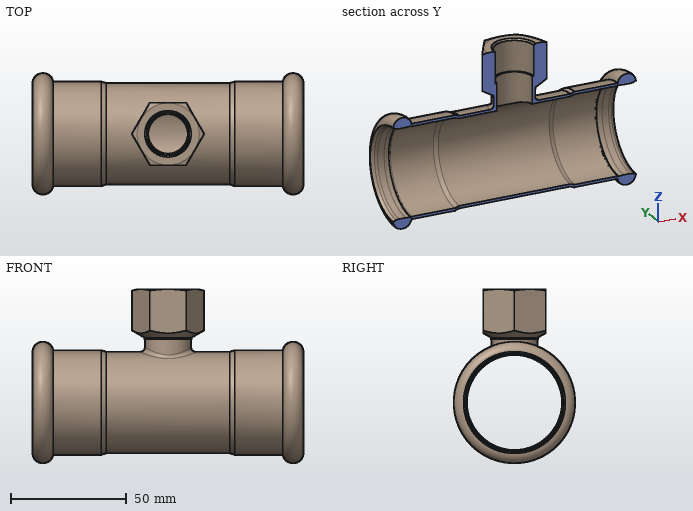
import cadquery as cq
import math

length = 117.3
run_diameter = 44.0
run_bore = 41.0
socket_diameter = 45.4
socket_bore = 42.3
taper_inner_x = 26.7
taper_outer_x = 28.9

bead_outer_diameter = 52.7
bead_width = 9.1
mouth_diameter = 44.1
lead_in_diameter = 42.7
lead_in_depth = 1.5
ridge_start_depth = 2.9
ridge_end_depth = 6.1
seat_depth = 8.6
seat_step_length = 0.6

overall_height = 75.3
neck_diameter = 20.0
neck_fillet = 1.9
collar_diameter = 20.4
collar_height = 0.6
hex_across_flats = 27.1
hex_bottom = 28.0
hex_chamfer_angle = 30.0
top_face_diameter = 26.9
top_chamfer_angle = 15.0
branch_bore = 17.0
thread_bore = 18.5
thread_depth = 15.2
thread_chamfer_diameter = 20.0

half_length = length / 2
bead_radius = bead_width / 2
bead_center_x = half_length - bead_radius
bead_center_radius = bead_outer_diameter / 2 - bead_radius
branch_top = overall_height - bead_outer_diameter / 2
hex_across_corners = hex_across_flats / math.cos(math.radians(30))


def make_run_body():
    """Outer solid of the run, revolved about X."""
    bead_inner_x = half_length - bead_width
    profile = (
        cq.Workplane("XY")
        .moveTo(-half_length, 0)
        .lineTo(-half_length, bead_center_radius)
        .threePointArc((-bead_center_x, bead_outer_diameter / 2), (-bead_inner_x, bead_center_radius))
        .lineTo(-bead_inner_x, socket_diameter / 2)
        .lineTo(-taper_outer_x, socket_diameter / 2)
        .lineTo(-taper_inner_x, run_diameter / 2)
        .lineTo(0, run_diameter / 2)
        .lineTo(0, 0)
        .close()
    )
    half = profile.revolve(360, (0, 0, 0), (1, 0, 0))
    return half.union(half.mirror("YZ"))


def make_run_bore():
    """Material removed along the run: mouths, sockets and the central bore."""
    seat_x = half_length - seat_depth
    profile = (
        cq.Workplane("XY")
        .moveTo(-half_length, 0)
        .lineTo(-half_length, mouth_diameter / 2)
        .lineTo(-half_length + lead_in_depth, lead_in_diameter / 2)
        .lineTo(-half_length + ridge_start_depth, socket_bore / 2)
        .lineTo(-half_length + ridge_end_depth, socket_bore / 2)
        .lineTo(-seat_x, lead_in_diameter / 2)
        .lineTo(-seat_x + seat_step_length, socket_bore / 2)
        .lineTo(-taper_outer_x, socket_bore / 2)
        .lineTo(-taper_inner_x, run_bore / 2)
        .lineTo(0, run_bore / 2)
        .lineTo(0, 0)
        .close()
    )
    half = profile.revolve(360, (0, 0, 0), (1, 0, 0))
    return half.union(half.mirror("YZ"))


def add_neck(body):
    """Round neck joined to the run with a fillet along the saddle curve."""
    neck = cq.Workplane("XY").circle(neck_diameter / 2).extrude(hex_bottom)
    joined = body.union(neck)
    reach = neck_diameter / 2 + neck_fillet
    saddle = cq.selectors.BoxSelector(
        (-reach, -reach, run_diameter / 4),
        (reach, reach, (run_diameter / 2 + hex_bottom) / 2),
    )
    return joined.edges(saddle).fillet(neck_fillet)


def make_hex():
    """Hexagonal head with both ends turned conical, on a thin round collar."""
    corner_radius = hex_across_corners / 2
    collar_radius = collar_diameter / 2
    top_radius = top_face_diameter / 2
    bottom_rise = (corner_radius - collar_radius) * math.tan(math.radians(hex_chamfer_angle))
    top_drop = (corner_radius - top_radius) * math.tan(math.radians(top_chamfer_angle))
    prism = (
        cq.Workplane("XY", origin=(0, 0, hex_bottom))
        .polygon(6, hex_across_corners)
        .extrude(branch_top - hex_bottom)
    )
    turned = (
        cq.Workplane("XZ")
        .moveTo(0, hex_bottom)
        .lineTo(collar_radius, hex_bottom)
        .lineTo(corner_radius, hex_bottom + bottom_rise)
        .lineTo(corner_radius, branch_top - top_drop)
        .lineTo(top_radius, branch_top)
        .lineTo(0, branch_top)
        .close()
        .revolve(360, (0, 0, 0), (0, 1, 0))
    )
    collar = (
        cq.Workplane("XY", origin=(0, 0, hex_bottom))
        .circle(collar_radius)
        .extrude(-collar_height)
    )
    return prism.intersect(turned).union(collar)


def make_branch_bore():
    """Chamfered thread bore narrowing to the passage into the run."""
    thread_radius = thread_bore / 2
    chamfer_radius = thread_chamfer_diameter / 2
    thread_bottom = branch_top - thread_depth
    return (
        cq.Workplane("XZ")
        .lineTo(branch_bore / 2, 0)
        .lineTo(branch_bore / 2, thread_bottom)
        .lineTo(thread_radius, thread_bottom)
        .lineTo(thread_radius, branch_top - (chamfer_radius - thread_radius))
        .lineTo(chamfer_radius, branch_top)
        .lineTo(0, branch_top)
        .close()
        .revolve(360, (0, 0, 0), (0, 1, 0))
    )


outside = add_neck(make_run_body()).union(make_hex())
result = outside.cut(make_run_bore()).cut(make_branch_bore())